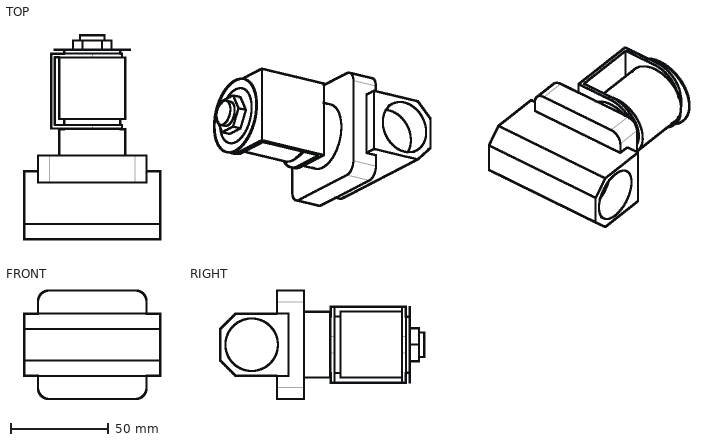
import cadquery as cq


block_length = 70.0
block_height = 32.0
block_front = -16.2
block_back = 18.9
block_chamfer = 7.9
port_diameter = 27.0
port_depth = 14.0

flange_size = 56.0
flange_corner_radius = 6.0
flange_front = 13.0
flange_back = 27.0

bracket_front = 40.65
bracket_back = 79.3
bracket_thickness = 2.0
bracket_left = -21.2
bracket_right = 15.3
bracket_height = 39.3
bracket_corner_radius = bracket_right

barrel_diameter = 34.0
neck_diameter = 29.0
washer_diameter = 38.7
tip_diameter = 12.8
nut_across_corners = 19.8
collar_end = 40.4
coil_start = 45.6
coil_end = bracket_back - bracket_thickness
washer_start = 81.05
washer_end = 81.5
nut_end = 86.1
tip_end = 88.78


def y_plane(y):
    """Workplane at the given Y, facing +Y, with its local Y along Z."""
    return cq.Workplane("XZ", origin=(0, y, 0)).transformed(rotate=(0, 180, 0))


def disc(diameter, start, end):
    """Cylinder on the stem axis between two Y positions."""
    axis_start = cq.Vector(0, start, 0)
    axis_direction = cq.Vector(0, 1, 0)
    return cq.Workplane(cq.Solid.makeCylinder(diameter / 2, end - start, axis_start, axis_direction))


def make_block():
    block = cq.Workplane("XY").box(
        block_length, block_back - block_front, block_height, centered=(True, False, True)
    ).translate((0, block_front, 0))
    return block.faces("<Y").edges("|X").chamfer(block_chamfer)


def make_flange():
    flange = y_plane(flange_front).rect(flange_size, flange_size).extrude(flange_back - flange_front)
    return flange.edges("|Y").fillet(flange_corner_radius)


def make_ports():
    """Blind bores entering the block from both ends."""
    left_port = (
        cq.Workplane("YZ", origin=(-block_length / 2, 0, 0)).circle(port_diameter / 2).extrude(port_depth)
    )
    return left_port.union(left_port.mirror("YZ"))


def make_stem():
    stem = disc(neck_diameter, flange_back, washer_start)
    stem = stem.union(disc(barrel_diameter, flange_back, collar_end))
    stem = stem.union(disc(barrel_diameter, coil_start, coil_end))
    stem = stem.union(disc(washer_diameter, washer_start, washer_end))
    nut = y_plane(washer_end).polygon(6, nut_across_corners).extrude(nut_end - washer_end)
    stem = stem.union(nut)
    return stem.union(disc(tip_diameter, nut_end, tip_end))


def make_valve():
    return make_block().union(make_flange()).cut(make_ports()).union(make_stem())


def make_bracket():
    width = bracket_right - bracket_left
    depth = bracket_back - bracket_front
    outer = cq.Workplane("XY").box(width, depth, bracket_height, centered=(False, False, True))
    outer = outer.translate((bracket_left, bracket_front, 0))
    outer = outer.edges("|Y and >X").fillet(bracket_corner_radius)
    gap = cq.Workplane("XY").box(
        width, depth - 2 * bracket_thickness, bracket_height, centered=(False, False, True)
    ).translate((bracket_left + bracket_thickness, bracket_front + bracket_thickness, 0))
    neck_hole = disc(neck_diameter, bracket_front, bracket_back)
    return outer.cut(gap).cut(neck_hole)


valve = make_valve()
bracket = make_bracket()

result = cq.Compound.makeCompound([valve.val(), bracket.val()])